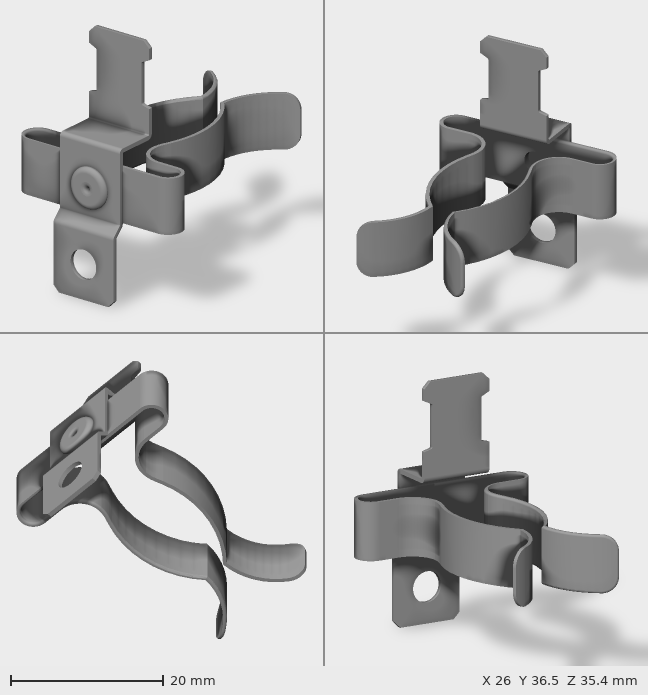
import cadquery as cq
import math


strip = 0.5
clip_height = 8.0
clip_width = 26.0
loop_outer_radius = 2.208
shoulder_radius = 3.7
neck_x = 4.1
neck_radius = 4.8
jaw_radius = 14.75
jaw_x = 5.62
jaw_y = 15.5
mouth_radius = 9.75
mouth_x = 11.42
mouth_y = 25.1
mouth_end_angle = 69.6
tip_radius = 2.25
edge_radius = 0.33

sheet = 0.62
bracket_width = 10.0
bracket_top = 19.9
bracket_bottom = -15.5
tab_back_y = 6.25
shelf_top_z = 6.65
foot_front_y = -2.0
jog_top_z = -4.12
bend_inner_radius = 0.2
corner_chamfer = 0.9
neck_width = 7.48
notch_top_z = 17.35
notch_bottom_z = 10.4
notch_top_slope = 0.6
notch_bottom_slope = 0.33
notch_corner_radius = 0.3
foot_hole_diameter = 4.27
foot_hole_z = -10.5

head_diameter = 6.0
head_height = 0.73
head_flat_diameter = 4.38
shank_diameter = 3.0
dimple_radius = 1.005


def arc_point(centre, radius, angle):
    """Point on a circle in the XY plane, angle in degrees from +X."""
    a = math.radians(angle)
    return (centre[0] + radius * math.cos(a), centre[1] + radius * math.sin(a))


def circle_crossing(centre_1, radius_1, centre_2, radius_2):
    """Upper crossing point of two circles, the second one lying to the right of the first."""
    gap = math.dist(centre_1, centre_2)
    along = (gap**2 + radius_1**2 - radius_2**2) / (2 * gap)
    line_angle = math.atan2(centre_2[1] - centre_1[1], centre_2[0] - centre_1[0])
    crossing_angle = line_angle + math.acos(along / radius_1)
    return arc_point(centre_1, radius_1, math.degrees(crossing_angle))


def angle_from(centre, point):
    """Direction of a point seen from a centre, in degrees from 0 to 360."""
    return math.degrees(math.atan2(point[1] - centre[1], point[0] - centre[0])) % 360


base_y = strip / 2
ledge_y = 2 * loop_outer_radius - base_y
loop_centre = (clip_width / 2 - loop_outer_radius, loop_outer_radius)
neck_y = ledge_y + shoulder_radius
shoulder_centre = (neck_x + shoulder_radius, neck_y)
neck_centre = (neck_x + neck_radius, neck_y)
jaw_centre = (jaw_x - jaw_radius, jaw_y)
mouth_centre = (mouth_x, mouth_y)

neck_to_jaw_angle = math.degrees(math.atan2(neck_y - jaw_y, neck_centre[0] - jaw_centre[0]))
tangent_swing = math.acos((jaw_radius + neck_radius) / math.dist(jaw_centre, neck_centre))
tangent_angle = neck_to_jaw_angle + math.degrees(tangent_swing)


def arm_face(shift):
    """Segments of one face of the +X arm, from the middle of the base to the mouth tip.

    The face lies `shift` to the left of the middle line. Each segment is a list of the
    points that follow the previous one: one point for a line, two for an arc.
    """
    loop_radius = loop_outer_radius - strip / 2 - shift
    shoulder = shoulder_radius + shift
    neck = neck_radius + shift
    jaw = jaw_radius - shift
    mouth = mouth_radius + shift

    pinch = circle_crossing(jaw_centre, jaw, mouth_centre, mouth)
    jaw_mid_angle = (tangent_angle + angle_from(jaw_centre, pinch)) / 2
    mouth_end = 180 - mouth_end_angle
    mouth_mid = (angle_from(mouth_centre, pinch) + mouth_end) / 2
    return [
        [(0, base_y + shift)],
        [arc_point(loop_centre, loop_radius, -90)],
        [arc_point(loop_centre, loop_radius, 0), arc_point(loop_centre, loop_radius, 90)],
        [arc_point(shoulder_centre, shoulder, 270)],
        [arc_point(shoulder_centre, shoulder, 225), arc_point(shoulder_centre, shoulder, 180)],
        [
            arc_point(neck_centre, neck, 180 + tangent_angle / 2),
            arc_point(neck_centre, neck, 180 + tangent_angle),
        ],
        [arc_point(jaw_centre, jaw, tangent_angle)],
        [arc_point(jaw_centre, jaw, jaw_mid_angle), pinch],
        [arc_point(mouth_centre, mouth, mouth_mid), arc_point(mouth_centre, mouth, mouth_end)],
    ]


def draw_segment(outline, points):
    return outline.lineTo(*points[0]) if len(points) == 1 else outline.threePointArc(*points)


def make_arm():
    """The +X half of the clip, with its two rounded tip corners."""
    inner = arm_face(strip / 2)
    outer = arm_face(-strip / 2)
    outline = cq.Workplane("XY", origin=(0, 0, -clip_height / 2)).moveTo(*inner[0][0])
    for points in inner[1:]:
        outline = draw_segment(outline, points)
    outline = outline.lineTo(*outer[-1][-1])
    for before, points in zip(outer[-2::-1], outer[:0:-1]):
        outline = draw_segment(outline, points[:-1] + before[-1:])
    arm = outline.close().extrude(clip_height)

    tip = inner[-1][-1]
    for z in (-clip_height / 2, clip_height / 2):
        arm = arm.edges(cq.NearestToPointSelector((tip[0], tip[1], z))).fillet(tip_radius)
    return arm


def round_inner_edges(arm):
    """Round the long edges of the arm's inner face along jaw and mouth, and around the tip."""
    jaw_mid = arm_face(strip / 2)[-2][0]
    mouth_mid = arm_face(strip / 2)[-1][0]
    long_edges = []
    for x, y in (jaw_mid, mouth_mid):
        for z in (-clip_height / 2, clip_height / 2):
            place = cq.Vertex.makeVertex(x, y, z)
            long_edges.append(min(arm.val().Edges(), key=place.distance))
    return arm.newObject(long_edges).fillet(edge_radius)


def make_clip():
    arm = make_arm()
    clip = arm.union(round_inner_edges(arm).mirror("YZ"))
    return clip.cut(make_shank())


def bracket_sheet():
    """Bent sheet of full width: tab, shelf, middle plate, 45 degree jog and foot."""
    mitre = sheet * math.tan(math.radians(22.5))
    plate_front_y = -sheet
    tab_front_y = tab_back_y - sheet
    shelf_bottom_z = shelf_top_z - sheet
    foot_back_y = foot_front_y + sheet
    jog_bottom_z = jog_top_z - (plate_front_y - foot_front_y)

    shelf_front = (plate_front_y, shelf_top_z)
    tab_heel = (tab_back_y, shelf_bottom_z)
    tab_inside = (tab_front_y, shelf_top_z)
    jog_top_front = (plate_front_y, jog_top_z)
    jog_top_back = (0, jog_top_z - mitre)
    jog_bottom_front = (foot_front_y, jog_bottom_z)
    jog_bottom_back = (foot_back_y, jog_bottom_z - mitre)
    profile = [
        (tab_back_y, bracket_top),
        (tab_front_y, bracket_top),
        tab_inside,
        shelf_front,
        jog_top_front,
        jog_bottom_front,
        (foot_front_y, bracket_bottom),
        (foot_back_y, bracket_bottom),
        jog_bottom_back,
        jog_top_back,
        (0, shelf_bottom_z),
        tab_heel,
    ]
    body = cq.Workplane("YZ").polyline(profile).close().extrude(bracket_width / 2, both=True)

    bend_outer_radius = bend_inner_radius + sheet
    bends = [
        (tab_heel, bend_outer_radius),
        (tab_inside, bend_inner_radius),
        (shelf_front, sheet),
        (jog_top_front, bend_inner_radius),
        (jog_top_back, bend_outer_radius),
        (jog_bottom_front, bend_outer_radius),
        (jog_bottom_back, bend_inner_radius),
    ]
    for (y, z), radius in bends:
        body = body.edges(cq.NearestToPointSelector((0, y, z))).fillet(radius)
    return body


def notch(side):
    """Cutter for the notch in one side of the upper tab; side is -1 or 1."""
    edge_x = side * bracket_width / 2
    neck_side_x = side * neck_width / 2
    return (
        cq.Workplane("XZ", origin=(0, tab_back_y, 0))
        .polyline([
            (edge_x, notch_top_z),
            (neck_side_x, notch_top_z - notch_top_slope),
            (neck_side_x, notch_bottom_z + notch_bottom_slope),
            (edge_x, notch_bottom_z),
        ])
        .close()
        .extrude(sheet)
        .edges("|Y")
        .edges("<X" if side > 0 else ">X")
        .fillet(notch_corner_radius)
    )


def make_bracket():
    body = bracket_sheet()
    body = body.faces(">Z or <Z").edges("|Y").chamfer(corner_chamfer)
    for side in (-1, 1):
        body = body.cut(notch(side))
    foot_hole = (
        cq.Workplane("XZ", origin=(0, foot_front_y + sheet, foot_hole_z))
        .circle(foot_hole_diameter / 2)
        .extrude(sheet)
    )
    return body.cut(foot_hole).cut(make_shank())


def make_shank():
    """Rivet shank through the bracket plate and the clip base."""
    return cq.Workplane("XZ", origin=(0, strip, 0)).circle(shank_diameter / 2).extrude(strip + sheet)


def make_rivet():
    edge_width = (head_diameter - head_flat_diameter) / 2
    head_base_y = -sheet
    head_top_y = head_base_y - head_height
    rim_mid = (
        head_flat_diameter / 2 + edge_width * math.sin(math.pi / 4),
        head_base_y - head_height * math.sin(math.pi / 4),
    )
    funnel_mid = (
        dimple_radius * (1 - math.sin(math.pi / 4)),
        head_top_y + dimple_radius * (1 - math.cos(math.pi / 4)),
    )
    head = (
        cq.Workplane("XY")
        .moveTo(0, head_base_y)
        .lineTo(head_diameter / 2, head_base_y)
        .threePointArc(rim_mid, (head_flat_diameter / 2, head_top_y))
        .lineTo(dimple_radius, head_top_y)
        .threePointArc(funnel_mid, (0, head_top_y + dimple_radius))
        .close()
        .revolve(360, (0, 0, 0), (0, 1, 0))
    )
    return head.union(make_shank())


clip = make_clip()
bracket = make_bracket()
rivet = make_rivet()

result = cq.Compound.makeCompound([clip.val(), bracket.val(), rivet.val()])